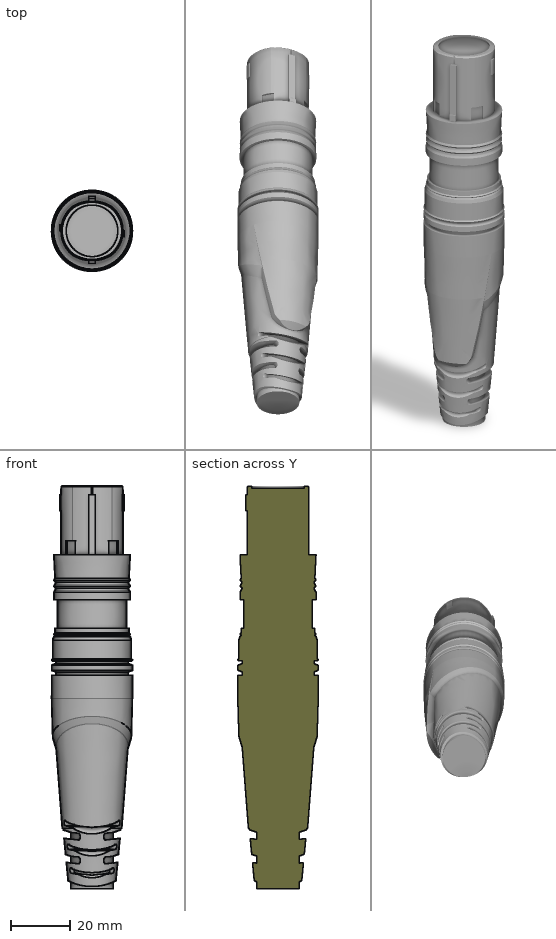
import cadquery as cq
import math

total_height = 136.5
collar_top = 113.2
collar_bottom = 97.9
neck_bottom = 88.3
grip_top = 72.4
grip_taper_start = 64.6
grip_bottom = 20.5

grip_diameter = 27.5
grip_radius = grip_diameter / 2
collar_radius = 13.0
ring_groove_radius = 12.3
ring_shoulder_radius = 12.5
neck_radius = 11.7

fine_ring_count = 3
first_ring_level = 104.6
ring_pitch = 2.0
ring_step = ring_pitch / 3

band_radius = 13.4
bead_radius = 13.0
bead_level = 86.3
bead_half_height = 0.4
band_top = 84.3
seal_groove_top = 77.2
lip_half_height = 0.4
thrust_ring_top = 75.8
thrust_ring_bottom = 74.0
edge_slope_height = 0.5

plug_radius = 10.5
plug_half_depth = 10.1
flat_face_radius = 12.3
plug_edge_chamfer = 0.4
face_recess_radius = 8.7
face_recess_depth = 0.7

key_width = 2.2
key_reach = 10.9
key_top = 133.5
key_slit_width = 0.5
key_slit_depth = 0.4
stop_reach = 11.7
stop_height = 2.3
side_rib_width = 2.0
side_rib_height = 5.5
notch_width = 4.4
notch_depth = 0.8
notch_height = 4.8

shell_lower_radius = 13.4
shell_edge_level = 51.8
shell_edge_slope = 0.5
bevel_foot_level = 47.9
bevel_foot_slope = 0.63
core_top_radius = 13.2
core_top_level = 61.5
core_bottom_radius = 10.1

shell_top = (grip_radius, grip_taper_start)
shell_middle = (shell_lower_radius, shell_edge_level)
core_top = (core_top_radius, core_top_level)
core_bottom = (core_bottom_radius, grip_bottom)

pad_top_half_width = 12.2
pad_mid_half_width = 10.8
pad_mid_level = 51.9
pad_bottom_half_width = 6.5
pad_corner_level = 27.7
pad_bottom_level = 23.2
pad_knee_radius = 13.5
pad_knee_level = 49.2
pad_end_radius = 12.7
pad_end_level = 25.3

cable_core_radius = 7.2
relief_bottom_radius = 7.9
relief_top_radius = 9.8
relief_edge_chamfer = 0.5
relief_pitch = 8.0
back_slot_rows = 3
side_slot_rows = 2
slot_inner_reach = 4.5
slot_end_bulge = 0.5
slot_outer_reach = 10.9
back_slot_top = 7.1
side_slot_bottom = 8.5
skirt_edge_mid = 0.8
skirt_edge_rise = 3.7

back_slot_outline = [
    (slot_inner_reach, 0),
    (slot_outer_reach, -2.6),
    (slot_outer_reach, -5.7),
    (7.0, -2.2),
    (slot_inner_reach, -1.8),
]
side_slot_outline = [
    (slot_inner_reach, 0),
    (slot_outer_reach, 0.8),
    (slot_outer_reach, 3.8),
    (7.2, 2.6),
    (slot_inner_reach, 2.3),
]


def revolve_profile(points):
    """Solid of revolution about Z; points are (radius, z) from the axis round to the axis."""
    return cq.Workplane("XZ").polyline(points).close().revolve(360, (0, 0, 0), (0, 1, 0))


def box_from(x_min, x_max, y_min, y_max, z_min, z_max):
    size = (x_max - x_min, y_max - y_min, z_max - z_min)
    return cq.Workplane("XY").box(*size, centered=False).translate((x_min, y_min, z_min))


def make_sleeve():
    """Collar, neck and ringed band between the plug and the grip."""
    points = [
        (0, collar_top),
        (collar_radius, collar_top),
        (ring_shoulder_radius, first_ring_level + ring_step),
        (collar_radius, first_ring_level),
    ]
    for ring in range(1, fine_ring_count):
        level = first_ring_level - ring * ring_pitch
        points += [
            (ring_groove_radius, level + 2 * ring_step),
            (ring_shoulder_radius, level + ring_step),
            (collar_radius, level),
        ]
    lip_level = seal_groove_top + lip_half_height
    points += [
        (collar_radius, collar_bottom),
        (neck_radius, collar_bottom),
        (neck_radius, neck_bottom),
        (ring_shoulder_radius, neck_bottom),
        (ring_shoulder_radius, bead_level + bead_half_height),
        (bead_radius, bead_level),
        (ring_shoulder_radius, bead_level - bead_half_height),
        (bead_radius, bead_level - 2 * bead_half_height),
        (band_radius, band_top),
        (band_radius, lip_level + lip_half_height),
        (grip_radius, lip_level),
        (band_radius, seal_groove_top),
        (ring_groove_radius, seal_groove_top),
        (ring_groove_radius, thrust_ring_top + edge_slope_height),
        (grip_radius, thrust_ring_top),
        (grip_radius, thrust_ring_bottom),
        (ring_groove_radius, thrust_ring_bottom - edge_slope_height),
        (ring_groove_radius, grip_top),
        (0, grip_top),
    ]
    return revolve_profile(points)


def plug_cylinder(radius, center_y):
    base = cq.Workplane("XY").workplane(offset=collar_top).center(0, center_y)
    cylinder = base.circle(radius).extrude(total_height - collar_top)
    return cylinder.faces(">Z").edges().chamfer(plug_edge_chamfer)


def make_plug():
    plug = plug_cylinder(plug_radius, 0)
    face_offset = flat_face_radius - plug_half_depth
    for center_y in (-face_offset, face_offset):
        plug = plug.intersect(plug_cylinder(flat_face_radius, center_y))
    plug = plug.faces(">Z").workplane(origin=(0, 0, total_height))
    plug = plug.circle(face_recess_radius).cutBlind(-face_recess_depth)

    notch = box_from(
        plug_radius - notch_depth, key_reach,
        -notch_width / 2, notch_width / 2,
        collar_top, collar_top + notch_height,
    )
    for angle in (45, 135, 225, 315):
        plug = plug.cut(notch.rotate((0, 0, 0), (0, 0, 1), angle))

    half_key = key_width / 2
    half_slit = key_slit_width / 2
    slit_floor = plug_half_depth - key_slit_depth
    key = box_from(-half_key, half_key, face_recess_radius, key_reach, collar_top, key_top)
    slit = box_from(-half_slit, half_slit, slit_floor, key_reach, key_top, total_height)
    rib = box_from(face_recess_radius, key_reach, -side_rib_width, 0, key_top - side_rib_height, key_top)
    for angle in (0, 180):
        plug = plug.cut(slit.rotate((0, 0, 0), (0, 0, 1), angle))
        plug = plug.union(key.rotate((0, 0, 0), (0, 0, 1), angle))
        plug = plug.union(rib.rotate((0, 0, 0), (0, 0, 1), angle))

    stop_top = collar_top + stop_height
    stop = box_from(-half_key, half_key, face_recess_radius, stop_reach, collar_top, stop_top)
    return plug.union(stop)


def cone_radius(level, top, bottom):
    """Radius at a level of the cone through two (radius, z) points."""
    return bottom[0] + cone_taper(top, bottom) * (level - bottom[1])


def cone_taper(top, bottom):
    return (top[0] - bottom[0]) / (top[1] - bottom[1])


def sloped_section(radius, taper, level, slope):
    """Ellipse cut by the plane z = level - slope * y from a cone with this radius at the level."""
    eccentricity = taper * slope
    half_length = radius / (1 - eccentricity**2)
    half_width = radius / math.sqrt(1 - eccentricity**2)
    center_y = -eccentricity * half_length
    plane = cq.Plane(origin=(0, center_y, level - slope * center_y), xDir=(1, 0, 0), normal=(0, slope, 1))
    return cq.Workplane(plane).ellipse(half_width, half_length * math.hypot(1, slope)).val()


def make_shell():
    """Outer grip shell ending in a sloped edge with a bevel down to the core."""
    shell_bottom_radius = cone_radius(grip_bottom, shell_top, shell_middle)
    shell = revolve_profile([
        (0, grip_top),
        (grip_radius, grip_top),
        (grip_radius, grip_taper_start),
        (shell_bottom_radius, grip_bottom),
        (0, grip_bottom),
    ])
    reach = 2 * grip_radius
    drop = shell_edge_slope * reach
    below_edge = (
        cq.Workplane("YZ")
        .polyline([
            (-reach, shell_edge_level + drop),
            (reach, shell_edge_level - drop),
            (reach, 0),
            (-reach, 0),
        ])
        .close()
        .extrude(reach, both=True)
    )
    shell_taper = cone_taper(shell_top, shell_middle)
    upper = sloped_section(shell_lower_radius, shell_taper, shell_edge_level, shell_edge_slope)
    foot_radius = cone_radius(bevel_foot_level, core_top, core_bottom)
    core_taper = cone_taper(core_top, core_bottom)
    lower = sloped_section(foot_radius, core_taper, bevel_foot_level, bevel_foot_slope)
    bevel = cq.Workplane(cq.Solid.makeLoft([lower, upper], True))
    return shell.cut(below_edge).union(bevel)


def make_core():
    return revolve_profile([
        (0, core_top_level),
        core_top,
        core_bottom,
        (0, grip_bottom),
    ])


def make_back_pad():
    surface = revolve_profile([
        (0, grip_taper_start),
        (grip_radius, grip_taper_start),
        (pad_knee_radius, pad_knee_level),
        (pad_end_radius, pad_end_level),
        (core_bottom_radius, pad_end_level - (pad_end_radius - core_bottom_radius)),
        (0, grip_bottom),
    ])
    outline = (
        cq.Workplane("XZ")
        .moveTo(-pad_top_half_width, grip_taper_start)
        .threePointArc((-pad_mid_half_width, pad_mid_level), (-pad_bottom_half_width, pad_corner_level))
        .threePointArc((0, pad_bottom_level), (pad_bottom_half_width, pad_corner_level))
        .threePointArc((pad_mid_half_width, pad_mid_level), (pad_top_half_width, grip_taper_start))
        .close()
        .extrude(-2 * grip_radius)
    )
    return surface.intersect(outline)


def mirrored_slot(workplane, outline, level):
    """Slot on both sides of the axis, run straight through the strain relief.

    The outline runs from one corner of the inner end to the other; a shallow arc joins them.
    """
    end_middle = level + (outline[0][1] + outline[-1][1]) / 2
    end_reach = slot_inner_reach - slot_end_bulge
    slots = cq.Workplane(workplane)
    for side in (-1, 1):
        points = [(side * reach, level + height) for reach, height in outline]
        slots = slots.polyline(points).threePointArc((side * end_reach, end_middle), points[0]).close()
    return slots.extrude(slot_outer_reach, both=True)


def make_slot_cutter():
    """All strain relief slots, stopping at the round cable core."""
    skirt_end = skirt_edge_mid + skirt_edge_rise
    cutter = (
        cq.Workplane("XZ")
        .moveTo(-slot_outer_reach, skirt_end)
        .threePointArc((0, skirt_edge_mid), (slot_outer_reach, skirt_end))
        .lineTo(slot_outer_reach, -skirt_edge_rise)
        .lineTo(-slot_outer_reach, -skirt_edge_rise)
        .close()
        .extrude(slot_outer_reach, both=True)
    )
    for row in range(back_slot_rows):
        cutter = cutter.union(mirrored_slot("YZ", back_slot_outline, back_slot_top + row * relief_pitch))
    for row in range(side_slot_rows):
        cutter = cutter.union(mirrored_slot("XZ", side_slot_outline, side_slot_bottom + row * relief_pitch))
    cable_core = cq.Workplane("XY").circle(cable_core_radius).extrude(grip_top)
    return cutter.cut(cable_core)


def make_strain_relief():
    return revolve_profile([
        (0, 0),
        (relief_bottom_radius - relief_edge_chamfer, 0),
        (relief_bottom_radius, relief_edge_chamfer),
        (relief_top_radius, grip_bottom),
        (0, grip_bottom),
    ])


grip = make_shell().union(make_core()).union(make_back_pad())
handle = grip.union(make_strain_relief()).cut(make_slot_cutter())
result = handle.union(make_sleeve()).union(make_plug())